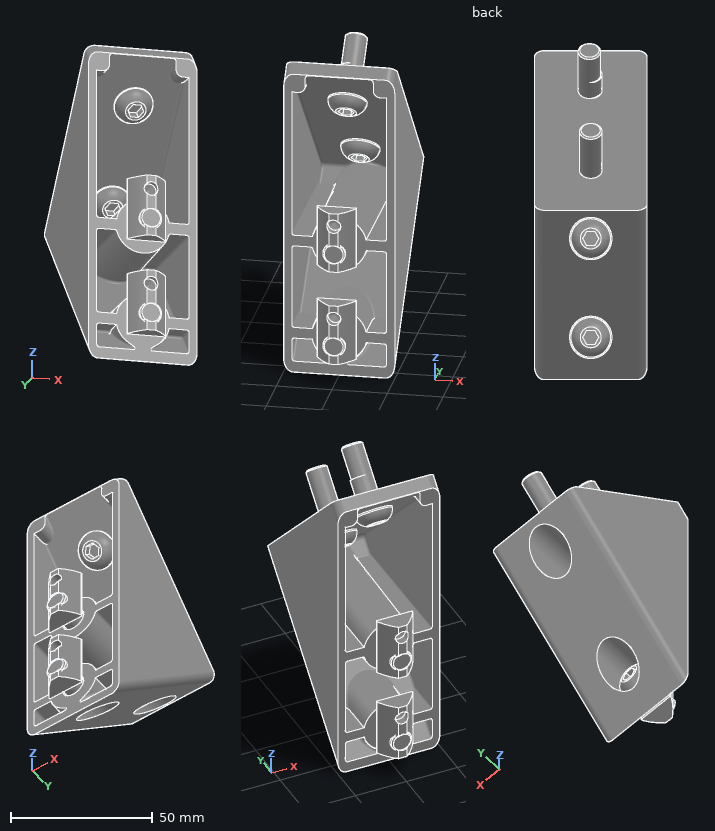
import cadquery as cq
import math

overall_height = 119.0
width = 40.0
depth = 60.0
top_plate_length = 80.0
top_plate_thickness = 5.0
lower_plate_thickness = 3.0
wall_thickness = 3.0
corner_radius = 3.5
draft_angle = 1.0

inner_corner_radius = 2.0
under_rib_radius = 2.0
inner_edge_radius = 1.0

pad_width = 7.7
pad_height = 6.8
pad_radius = 2.5

boss_heights = (15.0, 50.0)
boss_radius = 9.9
boss_floor = 5.0
rib_thickness = 4.0
head_bore_diameter = 15.0

screw_diameter = 8.0
tip_diameter = 6.8
head_diameter = 14.0
head_height = 4.4
head_rim = 0.6
head_top_diameter = 7.4
dome_middle_radius = 6.0
dome_middle_height = 2.9
hex_size = 5.0
hex_depth = 3.5
clearance_diameter = 9.0
plate_screw_places = (20.0, 60.0)
plate_screw_shifts = (0, 0.5)
plate_screw_collars = ((0, 0.7, 1.5), (-0.5, 0, 8.0))
front_screw_reach = 11.0

nut_gap = 4.4
nut_thickness = 7.0
nut_width = 14.0
nut_edge = 0.6
nut_tip_width = 3.3
nut_bulge = 0.4
nut_above = 15.6
nut_below = 6.5
dimple_offset = 10.7
dimple_diameter = 5.0
dimple_depth = 3.1
dimple_cone_depth = 1.4

root2 = math.sqrt(2)
half_width = width / 2
opening_top = root2 * top_plate_length
pad_bottom = opening_top - pad_height
draft_slope = math.tan(math.radians(draft_angle))
front_run = 11.9
tip_radius = tip_diameter / 2
tip_chamfer = (screw_diameter - tip_diameter) / 2
plate_screw_reach = (overall_height - depth) * root2 - plate_screw_places[1] - tip_radius

inner_y = depth - (top_plate_thickness + lower_plate_thickness) / root2
inner_z = depth + (lower_plate_thickness - top_plate_thickness) / root2

top_plate = cq.Plane(origin=(0, depth, depth), xDir=(1, 0, 0), normal=(0, -1, -1))


def front_plane(height, distance=0.0):
    """Plane facing the back (+Y) on a front screw axis, at a distance behind the open front."""
    return cq.Plane(origin=(0, distance, height), xDir=(-1, 0, 0), normal=(0, 1, 0))


def outer_block():
    block = (
        cq.Workplane(top_plate)
        .center(0, top_plate_length / 2)
        .rect(width, top_plate_length)
        .extrude(depth * root2)
        .edges("|(0, -1, -1)")
        .fillet(corner_radius)
    )
    behind_front = cq.Workplane("XY").box(2 * width, 2 * depth, 4 * depth, centered=(True, False, True))
    return block.intersect(behind_front)


def drafted_hollow():
    """Space between the plates and side walls, run on past the open front so its fillets end cleanly."""
    half_opening = inner_y + front_run
    between_plates = (
        cq.Workplane("YZ")
        .polyline([
            (-front_run, inner_z - half_opening),
            (inner_y, inner_z),
            (-front_run, inner_z + half_opening),
        ])
        .close()
        .extrude(half_width, both=True)
        .edges(">Y")
        .fillet(inner_corner_radius)
    )
    front_half = half_width - wall_thickness + front_run * draft_slope
    back_half = half_width - wall_thickness - depth * draft_slope
    between_walls = (
        cq.Workplane("XY", origin=(0, 0, -overall_height))
        .polyline([
            (-front_half, -front_run),
            (front_half, -front_run),
            (back_half, depth),
            (-back_half, depth),
        ])
        .close()
        .extrude(3 * overall_height)
    )
    return between_plates.intersect(between_walls)


def boss_with_rib(height):
    front_shrink = front_run * draft_slope
    back_growth = depth * draft_slope
    boss = (
        cq.Workplane(front_plane(height, -front_run))
        .circle(boss_radius - front_shrink)
        .workplane(offset=front_run + depth)
        .circle(boss_radius + back_growth)
        .loft()
    )
    front_half = rib_thickness / 2 - front_shrink
    back_half = rib_thickness / 2 + back_growth
    rib = (
        cq.Workplane("YZ")
        .polyline([
            (-front_run, height - front_half),
            (depth, height - back_half),
            (depth, height + back_half),
            (-front_run, height + front_half),
        ])
        .close()
        .extrude(half_width, both=True)
    )
    return boss.union(rib)


def corner_pad(side):
    """Block that fills one upper corner of the opening."""
    outline = (
        cq.Workplane("XZ", origin=(side * (half_width - pad_width / 2), -front_run, opening_top))
        .rect(pad_width, 2 * pad_height)
        .extrude(-depth)
    )
    return outline.edges("|Y").fillet(pad_radius)


def is_line_along(edge, axis):
    return edge.geomType() == "LINE" and abs(edge.tangentAt(0).dot(axis)) > 0.97


def plate_edges(bay):
    """Edges of the bay's faces on the two plates, except the smooth inner corner and the front end."""
    smooth_from = inner_y - 2 * inner_corner_radius
    kept = []
    for face in bay.faces("#X").vals():
        if face.geomType() != "PLANE" or face.normalAt().y < 0.5:
            continue
        for edge in face.Edges():
            smooth = is_line_along(edge, cq.Vector(1, 0, 0)) and edge.Center().y > smooth_from
            at_front = edge.BoundingBox().ymax < 0.1 - front_run
            if not smooth and not at_front:
                kept.append(edge)
    return kept


def rib_corners(bay):
    """Edges where the ribs meet the side walls."""
    kept = []
    for edge in bay.edges().vals():
        middle = edge.Center()
        beside_wall = abs(middle.x) > half_width - pad_width / 2
        if is_line_along(edge, cq.Vector(0, 1, 0)) and beside_wall and middle.z < pad_bottom - 1.2:
            kept.append(edge)
    return kept


def under_rib_edges(bay):
    """Edges along X where the lower plate runs in under the upper rib."""
    kept = []
    for edge in plate_edges(bay):
        if is_line_along(edge, cq.Vector(1, 0, 0)) and edge.Center().z > sum(boss_heights) / 2:
            kept.append(edge)
    return kept


def make_bays():
    """The hollows below, between and above the two ribs."""
    hollow = drafted_hollow()
    for height in boss_heights:
        hollow = hollow.cut(boss_with_rib(height))
    for side in (-1, 1):
        hollow = hollow.cut(corner_pad(side))
    lower, middle, upper = sorted(hollow.solids().vals(), key=lambda bay: bay.Center().z)
    middle = middle.fillet(under_rib_radius, under_rib_edges(cq.Workplane(middle)))
    rounded = []
    for bay in (lower, middle, upper):
        shape = cq.Workplane(bay)
        rounded.append(bay.fillet(inner_edge_radius, plate_edges(shape) + rib_corners(shape)))
    return rounded


def make_bracket():
    bracket = outer_block()
    for bay in make_bays():
        bracket = bracket.cut(cq.Workplane(bay))
    for height in boss_heights:
        clearance = cq.Workplane(front_plane(height)).circle(clearance_diameter / 2).extrude(boss_floor)
        head_bore = cq.Workplane(front_plane(height, boss_floor)).circle(head_bore_diameter / 2).extrude(depth)
        bracket = bracket.cut(clearance).cut(head_bore)
    for place, shift in zip(plate_screw_places, plate_screw_shifts):
        hole = (
            cq.Workplane(top_plate)
            .center(shift, place)
            .circle(screw_diameter / 2)
            .extrude(top_plate_thickness)
        )
        bracket = bracket.cut(hole)
    return bracket


def make_screw(seat_plane, length):
    """Screw whose head stands on the seat plane along its normal, with the shank on the other side."""
    shank_radius = screw_diameter / 2
    head_radius = head_diameter / 2
    profile = (
        cq.Workplane("XZ")
        .moveTo(0, -length)
        .lineTo(tip_radius, -length)
        .lineTo(shank_radius, tip_chamfer - length)
        .lineTo(shank_radius, 0)
        .lineTo(head_radius, 0)
        .lineTo(head_radius, head_rim)
        .threePointArc((dome_middle_radius, dome_middle_height), (head_top_diameter / 2, head_height))
        .lineTo(0, head_height)
        .close()
    )
    screw = profile.revolve(360, (0, 0, 0), (0, 1, 0))
    socket = (
        cq.Workplane("XY", origin=(0, 0, head_height - hex_depth))
        .polygon(6, hex_size / math.cos(math.pi / 6))
        .extrude(hex_depth)
    )
    return screw.cut(socket).val().moved(cq.Location(seat_plane))


def add_collar(screw, seat_plane, across, along, height):
    """Adds a collar beside the shank, standing on the outer face of the top plate."""
    collar = (
        cq.Workplane(seat_plane)
        .workplane(offset=-top_plate_thickness)
        .center(across, along)
        .circle(screw_diameter / 2)
        .extrude(-height)
    )
    return cq.Workplane(screw).union(collar).val()


def make_nut(height, screw):
    """Nut threaded onto the given screw, with a narrower mouth around the screw tip."""
    half = nut_width / 2
    half_tip = nut_tip_width / 2
    back = -nut_gap
    flank_start = back - nut_edge
    tip = back - nut_thickness
    flank_x = half - half_tip
    flank_y = flank_start - tip
    flank = math.hypot(flank_x, flank_y)
    middle_x = (half + half_tip) / 2 + nut_bulge * flank_y / flank
    middle_y = (flank_start + tip) / 2 - nut_bulge * flank_x / flank
    nut = (
        cq.Workplane("XY", origin=(0, 0, height - nut_below))
        .moveTo(-half, back)
        .lineTo(half, back)
        .lineTo(half, flank_start)
        .threePointArc((middle_x, middle_y), (half_tip, tip))
        .lineTo(-half_tip, tip)
        .threePointArc((-middle_x, middle_y), (-half, flank_start))
        .close()
        .extrude(nut_below + nut_above)
    )
    core_hole = cq.Workplane(front_plane(height, tip)).circle(tip_radius).extrude(nut_thickness)
    dimple = (
        cq.Workplane("XY", origin=(0, tip, height + dimple_offset))
        .lineTo(dimple_diameter / 2, 0)
        .lineTo(dimple_diameter / 2, dimple_depth)
        .lineTo(0, dimple_depth + dimple_cone_depth)
        .close()
        .revolve(360, (0, 0, 0), (0, 1, 0))
    )
    return nut.cut(cq.Workplane(screw)).cut(core_hole).cut(dimple).val()


bracket = make_bracket()

plate_screws = []
for place, shift, collar in zip(plate_screw_places, plate_screw_shifts, plate_screw_collars):
    seat = cq.Plane(
        origin=top_plate.toWorldCoords((shift, place, top_plate_thickness)),
        xDir=top_plate.xDir,
        normal=top_plate.zDir,
    )
    screw = make_screw(seat, plate_screw_reach + top_plate_thickness)
    plate_screws.append(add_collar(screw, seat, *collar))

front_screws = []
nuts = []
for height in boss_heights:
    front_screw = make_screw(front_plane(height, boss_floor), front_screw_reach + boss_floor)
    front_screws.append(front_screw)
    nuts.append(make_nut(height, front_screw))

result = cq.Compound.makeCompound([bracket.val(), *plate_screws, *front_screws, *nuts])